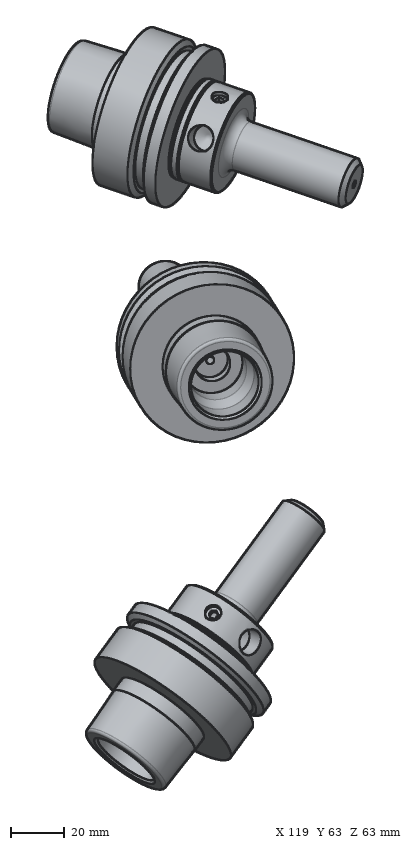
import cadquery as cq
import math

total_length = 119.0
flange_start = 25.0
flange_end = 51.0
collar_end = 69.0

spigot_tip_radius = 36.7 / 2
spigot_edge_round = 1.2
taper_end = 19.0
taper_end_radius = 37.8 / 2
spigot_land_radius = 38.1 / 2

flange_radius = 63.0 / 2
grip_floor_radius = 55.0 / 2
grip_start = 40.9
grip_end = 44.9
grip_bevel_length = 1.4
grip_bevel_depth = 2.4

collar_radius = 40.0 / 2
collar_neck_depth = 0.4
collar_neck_length = 0.4
collar_lead_end = 52.4
ring_groove_start = 54.6
ring_groove_width = 0.7
ring_groove_depth = 0.4
collar_chamfer = 0.5

shank_radius = 19.5 / 2
shank_root_round = 3.9
shank_chamfer = 2.0

bore_mouth_radius = 28.0 / 2
bore_radius = 26.0 / 2
inner_bore_radius = 22.7 / 2
mouth_bevel_length = 1.0
bore_straight_end = 9.5
inner_bore_start = 15.8
bore_depth = 23.8
pocket_radius = 13.3 / 2
pocket_depth = 4.8
coolant_hole_diameter = 3.0

radial_holes_x = 62.0
wrench_hole_angle = -46.0
wrench_hole_diameter = 10.0
wrench_hole_floor_radius = 12.4
wrench_hole_tip_depth = 2.9
screw_angle = 8.5
screw_diameter = 6.2
screw_face_radius = 18.1
socket_diameter = 3.6
socket_depth = 1.8
socket_tip_depth = 1.0


def revolve_about_x(profile):
    """Revolve a closed (x, radius) profile around the X axis."""
    return profile.close().revolve(360, (0, 0, 0), (1, 0, 0))


def make_body():
    round_mid = spigot_edge_round * (1 - 0.5 ** 0.5)
    root_mid = shank_root_round * (1 - 0.5 ** 0.5)
    neck_radius = collar_radius - collar_neck_depth
    groove_radius = collar_radius - ring_groove_depth
    ring_groove_end = ring_groove_start + ring_groove_width
    bevel_radius = flange_radius - grip_bevel_depth
    profile = (
        cq.Workplane("XY")
        .lineTo(0, spigot_tip_radius - spigot_edge_round)
        .threePointArc(
            (round_mid, spigot_tip_radius - round_mid),
            (spigot_edge_round, spigot_tip_radius),
        )
        .lineTo(taper_end, taper_end_radius)
        .lineTo(taper_end, spigot_land_radius)
        .lineTo(flange_start, spigot_land_radius)
        .lineTo(flange_start, flange_radius)
        .lineTo(grip_start - grip_bevel_length, flange_radius)
        .lineTo(grip_start, bevel_radius)
        .lineTo(grip_start, grip_floor_radius)
        .lineTo(grip_end, grip_floor_radius)
        .lineTo(grip_end, bevel_radius)
        .lineTo(grip_end + grip_bevel_length, flange_radius)
        .lineTo(flange_end, flange_radius)
        .lineTo(flange_end, neck_radius)
        .lineTo(flange_end + collar_neck_length, neck_radius)
        .lineTo(collar_lead_end, collar_radius)
        .lineTo(ring_groove_start, collar_radius)
        .lineTo(ring_groove_start, groove_radius)
        .lineTo(ring_groove_end, groove_radius)
        .lineTo(ring_groove_end, collar_radius)
        .lineTo(collar_end - collar_chamfer, collar_radius)
        .lineTo(collar_end, collar_radius - collar_chamfer)
        .lineTo(collar_end, shank_radius + shank_root_round)
        .threePointArc(
            (collar_end + root_mid, shank_radius + root_mid),
            (collar_end + shank_root_round, shank_radius),
        )
        .lineTo(total_length - shank_chamfer, shank_radius)
        .lineTo(total_length, shank_radius - shank_chamfer)
        .lineTo(total_length, 0)
    )
    return revolve_about_x(profile)


def make_bore():
    pocket_end = bore_depth + pocket_depth
    stepped_bore = revolve_about_x(
        cq.Workplane("XY")
        .lineTo(0, bore_mouth_radius)
        .lineTo(mouth_bevel_length, bore_radius)
        .lineTo(bore_straight_end, bore_radius)
        .lineTo(inner_bore_start, inner_bore_radius)
        .lineTo(bore_depth, inner_bore_radius)
        .lineTo(bore_depth, pocket_radius)
        .lineTo(pocket_end, pocket_radius)
        .lineTo(pocket_end, 0)
    )
    coolant_hole = cq.Workplane("YZ").circle(coolant_hole_diameter / 2).extrude(total_length)
    return stepped_bore.union(coolant_hole)


def place_radially(tool, floor_radius, angle):
    """Move a tool built on the XY plane out to floor_radius and turn it to the given angle."""
    return tool.translate((radial_holes_x, 0, floor_radius)).rotate((0, 0, 0), (1, 0, 0), -angle)


def radial_tool(sketch, floor_radius, angle):
    """Extrude a sketch outward from floor_radius past the collar."""
    return place_radially(sketch.extrude(flange_radius - floor_radius), floor_radius, angle)


def conical_tip(base_radius, depth, floor_radius, angle):
    """Cone that continues a radial hole inward from its floor to a point."""
    half_section = cq.Workplane("XZ").lineTo(base_radius, 0).lineTo(0, -depth).close()
    cone = half_section.revolve(360, (0, 0, 0), (0, 1, 0))
    return place_radially(cone, floor_radius, angle)


def make_wrench_hole():
    radius = wrench_hole_diameter / 2
    floor_radius = wrench_hole_floor_radius
    barrel = radial_tool(cq.Workplane("XY").circle(radius), floor_radius, wrench_hole_angle)
    tip = conical_tip(radius, wrench_hole_tip_depth, floor_radius, wrench_hole_angle)
    return barrel.union(tip)


def make_screw_recess():
    seat = radial_tool(cq.Workplane("XY").circle(screw_diameter / 2), screw_face_radius, screw_angle)
    socket_sketch = cq.Workplane("XY").polygon(6, socket_diameter)
    socket_floor_radius = screw_face_radius - socket_depth
    socket = radial_tool(socket_sketch, socket_floor_radius, screw_angle)
    socket_flat_radius = socket_diameter / 2 * math.cos(math.pi / 6)
    tip = conical_tip(socket_flat_radius, socket_tip_depth, socket_floor_radius, screw_angle)
    return seat.union(socket).union(tip)


result = make_body().cut(make_bore()).cut(make_wrench_hole()).cut(make_screw_recess())